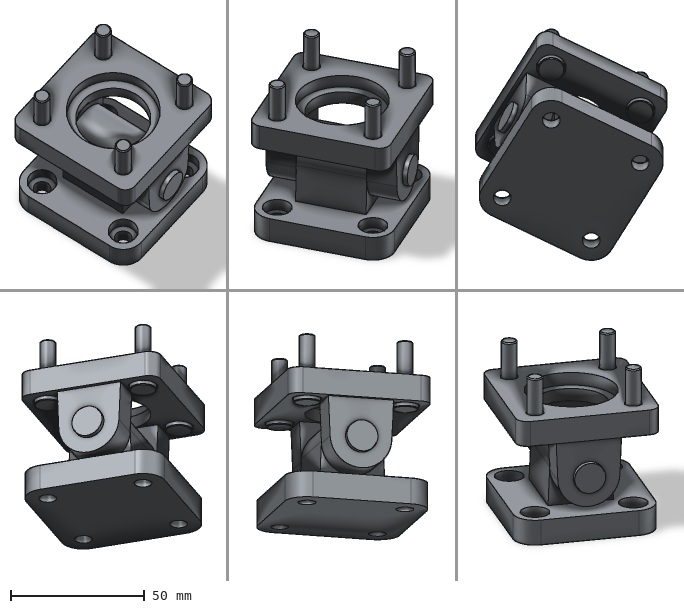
import cadquery as cq
import math

total_height = 64.5
plate_side = 55.0
plate_thickness = 10.0

fork_plate_bottom = 40.0
pivot_radius = 12.0
lug_root_width = 25.3
eye_width = 28.0
fork_width = 52.0
pin_diameter = 12.0
pin_length = 56.0

bore_diameter = 28.0
pilot_diameter = 35.0
pilot_depth = 5.0

screw_spacing = 38.0
shank_diameter = 6.0
shank_length = 20.0
head_diameter = 10.0
head_height = 6.0
tip_chamfer = 0.45
head_chamfer = 0.3
clearance_diameter = 6.6
counterbore_diameter = 11.0

fork_corner_radius = 4.6

base_top = plate_thickness
pivot_height = (base_top + fork_plate_bottom) / 2
ear_width = (fork_width - eye_width) / 2
ear_offset = (fork_width + eye_width) / 4
head_seat_height = total_height - shank_length
counterbore_depth = head_seat_height - fork_plate_bottom
base_corner_radius = (plate_side - screw_spacing) / 2


def plate(bottom, corner_radius):
    """Square plate with rounded vertical corners, resting at height bottom."""
    return (
        cq.Workplane("XY", origin=(0, 0, bottom))
        .rect(plate_side, plate_side)
        .extrude(plate_thickness)
        .edges("|Z")
        .fillet(corner_radius)
    )


def screw_holes(face):
    """Counterbored clearance holes at the four screw places, sunk from the given plane."""
    return (
        face.rect(screw_spacing, screw_spacing, forConstruction=True)
        .vertices()
        .cboreHole(clearance_diameter, counterbore_diameter, counterbore_depth)
    )


def lug(center_x, width, root_height):
    """Tapered lug from a plate face to a round end about the pivot axis.

    The flanks run from the root corners tangent to the round end.
    """
    half_root = lug_root_width / 2
    reach = abs(pivot_height - root_height)
    toward_end = math.copysign(1, pivot_height - root_height)

    corner_distance = math.hypot(half_root, reach)
    tangent_angle = math.acos(pivot_radius / corner_distance) - math.atan2(reach, half_root)
    tangent_y = pivot_radius * math.cos(tangent_angle)
    tangent_z = pivot_height + toward_end * pivot_radius * math.sin(tangent_angle)
    end_z = pivot_height + toward_end * pivot_radius

    return (
        cq.Workplane("YZ", origin=(center_x, 0, 0))
        .moveTo(-half_root, root_height)
        .lineTo(-tangent_y, tangent_z)
        .threePointArc((0, end_z), (tangent_y, tangent_z))
        .lineTo(half_root, root_height)
        .close()
        .extrude(width / 2, both=True)
    )


def pin_cylinder():
    """Cylinder of the hinge pin along the pivot axis."""
    return (
        cq.Workplane("YZ", origin=(0, 0, pivot_height))
        .circle(pin_diameter / 2)
        .extrude(pin_length / 2, both=True)
    )


def make_base():
    """Lower plate with a bored eye; its counterbores open upward."""
    body = plate(0, base_corner_radius)
    body = screw_holes(body.faces(">Z").workplane())
    body = body.union(lug(0, eye_width, base_top))
    return body.cut(pin_cylinder())


def make_fork():
    """Upper plate with two ears and the hinge pin fixed in them; its counterbores open downward."""
    body = plate(fork_plate_bottom, fork_corner_radius)
    body = screw_holes(body.faces("<Z").workplane())
    body = (
        body.faces(">Z")
        .workplane(origin=(0, 0, 0))
        .cboreHole(bore_diameter, pilot_diameter, pilot_depth)
    )
    for center_x in (-ear_offset, ear_offset):
        body = body.union(lug(center_x, ear_width, fork_plate_bottom))
    return body.union(pin_cylinder())


def make_screw(x, y):
    """Cap screw with its head below and its chamfered tip at the top."""
    head = (
        cq.Workplane("XY", origin=(x, y, head_seat_height - head_height))
        .circle(head_diameter / 2)
        .extrude(head_height)
        .faces("<Z")
        .chamfer(head_chamfer)
    )
    shank = (
        cq.Workplane("XY", origin=(x, y, head_seat_height))
        .circle(shank_diameter / 2)
        .extrude(shank_length)
        .faces(">Z")
        .chamfer(tip_chamfer)
    )
    return head.union(shank)


base = make_base()
fork = make_fork()

screws = []
for side_x in (-1, 1):
    for side_y in (-1, 1):
        screw = make_screw(side_x * screw_spacing / 2, side_y * screw_spacing / 2)
        screws.append(screw.solids().val())

result = cq.Compound.makeCompound([base.solids().val(), fork.solids().val(), *screws])